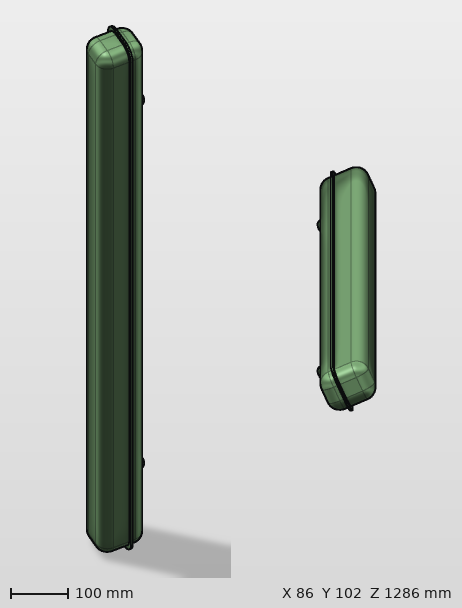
import cadquery as cq

flange_width = 86.0
flange_length = 1286.0
flange_thickness = 4.0
flange_overhang = 6.0
flange_corner_radius = 26.0

shell_width = flange_width - 2 * flange_overhang
shell_length = flange_length - 2 * flange_overhang
edge_radius = 23.0
front_face_y = -57.0
back_face_y = 33.0

knob_radius = 12.0
knob_height = 12.0
knob_rounding = 9.0
knob_offset_z = 464.0


def upright_slab(width, length, corner_radius, y_start, y_end):
    """Plate standing along Z with rounded corners, from y_start to y_end."""
    slab = cq.Workplane("XZ", origin=(0, y_end, 0)).rect(width, length).extrude(y_end - y_start)
    return slab.edges("|Y").fillet(corner_radius)


def make_flange():
    """Thin rounded plate standing out all round the shells."""
    return upright_slab(
        flange_width, flange_length, flange_corner_radius, -flange_thickness / 2, flange_thickness / 2
    )


def make_front_cover():
    """Shell in front of the flange, with its front rim rounded."""
    cover = upright_slab(shell_width, shell_length, edge_radius, front_face_y, -flange_thickness / 2)
    return cover.faces("<Y").edges().fillet(edge_radius)


def make_knob(z):
    """Domed knob standing on the back face at height z."""
    knob_top_y = back_face_y + knob_height
    knob = cq.Workplane("XZ", origin=(0, knob_top_y, z)).circle(knob_radius).extrude(knob_height)
    return knob.faces(">Y").edges().fillet(knob_rounding)


def make_back_housing():
    """Shell behind the flange, with its back rim rounded and a knob near each end."""
    housing = upright_slab(shell_width, shell_length, edge_radius, flange_thickness / 2, back_face_y)
    housing = housing.faces(">Y").edges().fillet(edge_radius)
    for z in (-knob_offset_z, knob_offset_z):
        housing = housing.union(make_knob(z))
    return housing


front_cover = make_front_cover().solids().val()
flange = make_flange().solids().val()
back_housing = make_back_housing().solids().val()

result = cq.Compound.makeCompound([front_cover, flange, back_housing])